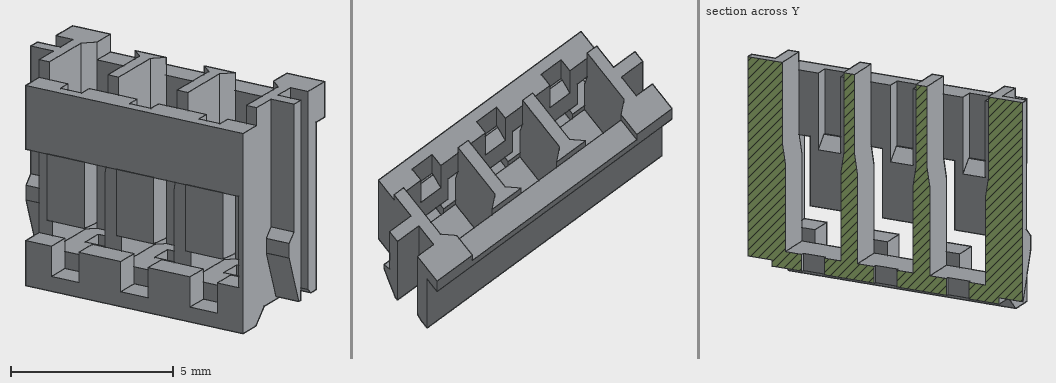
import cadquery as cq


overall_width = 9.5
overall_depth = 3.8
overall_height = 7.2

body_width = 7.85
body_back = 3.3
floor_underside = 0.49
floor_top = 1.05
front_wall_depth = 0.8
front_wall_top = 6.61
skirt_depth = 0.76
skirt_slope = floor_underside

flange_width = 9.1
flange_front = 2.8
flange_chamfer = 0.17
head_underside = 6.02

cavity_count = 3
cavity_pitch = 2.5
cavity_width = 2.11
cavity_lower_width = 1.9
cavity_back = 3.0
cavity_back_width = 1.37
cavity_corner_depth = 0.33
narrowing_top = 4.58
narrowing_bottom = 3.91

contact_size = 0.77
contact_front = 1.81

window_top = 4.5
lip_top = 1.49
window_wall = 0.16
lip_notch_width = 0.99

tongue_width = 1.34
tongue_setback = 0.04
tongue_front_end = 2.3
tongue_back_end = 2.24

relief_width = contact_size
relief_front = 0.35
ramp_front = 0.41
ramp_top = window_top

rib_back = 2.05
rib_front = 1.65
rib_bottom = 0.59
rib_toe = 1.94
barb_front = 1.37
barb_ramp_top = 2.98
barb_ramp_bottom = 2.7
barb_face_bottom = 2.21

cavity_centres = [(i - (cavity_count - 1) / 2) * cavity_pitch for i in range(cavity_count)]


def box(x_min, x_max, y_min, y_max, z_min, z_max):
    return cq.Workplane("XY").box(
        x_max - x_min, y_max - y_min, z_max - z_min, centered=False
    ).translate((x_min, y_min, z_min))


def centred_box(x_centre, width, y_min, y_max, z_min, z_max):
    return box(x_centre - width / 2, x_centre + width / 2, y_min, y_max, z_min, z_max)


def side_profile(points, width, x_centre=0.0):
    """Extrude a (Y, Z) outline along X, centred on x_centre."""
    profile = cq.Workplane("YZ").polyline(points).close()
    return profile.extrude(width / 2, both=True).translate((x_centre, 0, 0))


def make_body():
    return side_profile(
        [
            (0, 0),
            (skirt_depth, 0),
            (skirt_depth + skirt_slope, floor_underside),
            (body_back, floor_underside),
            (body_back, overall_height),
            (front_wall_depth, overall_height),
            (front_wall_depth, front_wall_top),
            (0, front_wall_top),
        ],
        body_width,
    )


def make_flange():
    return side_profile(
        [
            (flange_front + flange_chamfer, floor_underside),
            (body_back, floor_underside),
            (body_back, head_underside),
            (overall_depth, head_underside),
            (overall_depth, overall_height),
            (flange_front, overall_height),
            (flange_front, floor_underside + flange_chamfer),
        ],
        flange_width,
    )


def make_latch_ribs():
    rib_outline = [
        (rib_back, rib_bottom),
        (rib_back, overall_height),
        (rib_front, overall_height),
        (rib_front, barb_ramp_top),
        (barb_front, barb_ramp_bottom),
        (barb_front, barb_face_bottom),
        (rib_toe, rib_bottom),
    ]
    return side_profile(rib_outline, overall_width)


def make_cavity(x_centre):
    """Cavity with bevelled back corners, narrowing part way down."""
    half_width = cavity_width / 2
    half_back = cavity_back_width / 2
    corner_start = cavity_back - cavity_corner_depth
    plan = (
        cq.Workplane("XY")
        .polyline(
            [
                (-half_width, front_wall_depth),
                (half_width, front_wall_depth),
                (half_width, corner_start),
                (half_back, cavity_back),
                (-half_back, cavity_back),
                (-half_width, corner_start),
            ]
        )
        .close()
        .extrude(overall_height)
    )
    half_lower = cavity_lower_width / 2
    elevation = (
        cq.Workplane("XZ")
        .polyline(
            [
                (-half_lower, floor_top),
                (half_lower, floor_top),
                (half_lower, narrowing_bottom),
                (half_width, narrowing_top),
                (half_width, overall_height),
                (-half_width, overall_height),
                (-half_width, narrowing_top),
                (-half_lower, narrowing_bottom),
            ]
        )
        .close()
        .extrude(-overall_depth)
    )
    return plan.intersect(elevation).translate((x_centre, 0, 0))


def make_contact_opening(x_centre):
    return centred_box(x_centre, contact_size, contact_front, contact_front + contact_size, 0, floor_top)


def make_lip_notch(x_centre):
    return centred_box(x_centre, lip_notch_width, 0, front_wall_depth, floor_underside, lip_top)


def make_tongue(x_centre):
    return side_profile(
        [
            (tongue_setback, tongue_front_end),
            (front_wall_depth, tongue_back_end),
            (front_wall_depth, window_top),
            (tongue_setback, window_top),
        ],
        tongue_width,
        x_centre,
    )


def make_entry_relief(x_centre):
    """Slot behind the front wall with a short ledge and a 45 degree ramp at its foot."""
    ramp_drop = front_wall_depth - ramp_front
    return side_profile(
        [
            (relief_front, ramp_top),
            (ramp_front, ramp_top),
            (front_wall_depth, ramp_top - ramp_drop),
            (front_wall_depth, front_wall_top),
            (relief_front, front_wall_top),
        ],
        relief_width,
        x_centre,
    )


window = box(
    -body_width / 2, body_width / 2 - window_wall, 0, front_wall_depth, lip_top, window_top
)

back_recess_width = cavity_centres[-1] - cavity_centres[0] + cavity_back_width
back_recess = centred_box(
    0, back_recess_width, cavity_back, overall_depth, front_wall_top, overall_height
)

result = make_body().union(make_flange()).union(make_latch_ribs())
result = result.cut(window).cut(back_recess)
for centre in cavity_centres:
    result = result.cut(make_cavity(centre))
    result = result.cut(make_contact_opening(centre))
    result = result.cut(make_lip_notch(centre))
    result = result.union(make_tongue(centre))
    result = result.cut(make_entry_relief(centre))